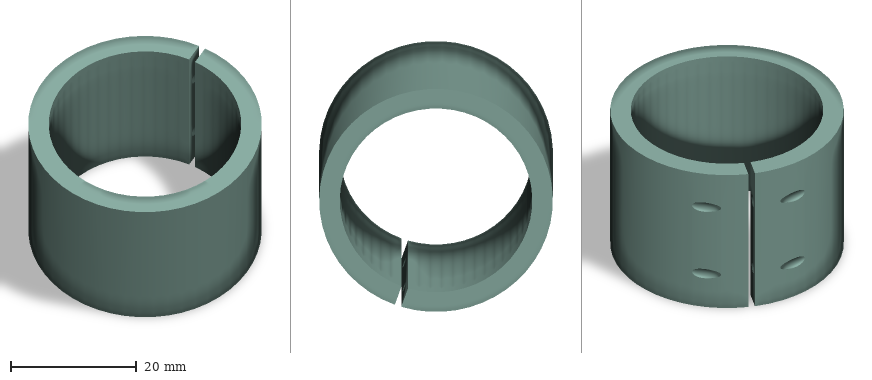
import cadquery as cq

outer_diameter = 37.08
inner_diameter = 30.55
height = 25.4
slit_width = 1.08
hole_diameter = 1.78
hole_offset = 17.02

outer_radius = outer_diameter / 2
hole_heights = [height / 4, height * 3 / 4]


def make_ring():
    return cq.Workplane("XY").circle(outer_radius).circle(inner_diameter / 2).extrude(height)


def make_slit():
    """Slot through the +Y wall over the full height."""
    return cq.Workplane("XY").box(slit_width, outer_radius, height, centered=(True, False, False))


def make_screw_holes():
    """Cross holes along X, inside the wall on both sides of the slit."""
    return (
        cq.Workplane("YZ")
        .pushPoints([(hole_offset, z) for z in hole_heights])
        .circle(hole_diameter / 2)
        .extrude(outer_radius, both=True)
    )


result = make_ring().cut(make_slit()).cut(make_screw_holes())